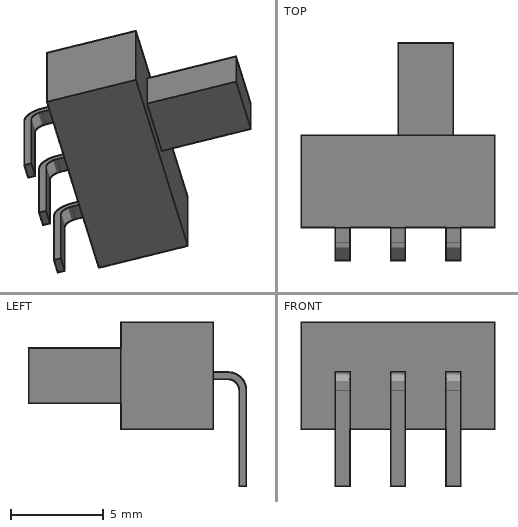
import cadquery as cq

body_width = 10.5
body_depth = 5.0
body_height = 5.8

slider_side = 3.0
slider_length = 5.0

pin_count = 3
pin_pitch = 3.0
pin_width = 0.8
pin_thickness = 0.4
pin_reach = 1.79
pin_top = 3.1
pin_bottom = -3.09
bend_outer_radius = 1.0
bend_inner_radius = bend_outer_radius - pin_thickness

front_y = -body_depth / 2
rear_y = body_depth / 2


def make_body():
    return cq.Workplane("XY").box(body_width, body_depth, body_height, centered=(True, True, False))


def make_slider():
    """Slider with one side on the middle plane of the housing."""
    bottom = (body_height - slider_side) / 2
    slider = cq.Workplane("XY").box(slider_side, slider_length, slider_side, centered=False)
    return slider.translate((0, rear_y, bottom))


def make_pin(center_x):
    """Flat pin that leaves the housing forwards and bends straight down."""
    outer_y = front_y - pin_reach
    bend_y = outer_y + bend_outer_radius
    bend_z = pin_top - bend_outer_radius
    profile = (
        cq.Workplane("YZ")
        .moveTo(front_y, pin_top)
        .lineTo(bend_y, pin_top)
        .radiusArc((outer_y, bend_z), -bend_outer_radius)
        .lineTo(outer_y, pin_bottom)
        .lineTo(outer_y + pin_thickness, pin_bottom)
        .lineTo(outer_y + pin_thickness, bend_z)
        .radiusArc((bend_y, pin_top - pin_thickness), bend_inner_radius)
        .lineTo(front_y, pin_top - pin_thickness)
        .close()
    )
    return profile.extrude(pin_width / 2, both=True).translate((center_x, 0, 0))


result = make_body().union(make_slider())
for index in range(pin_count):
    pin_x = (index - (pin_count - 1) / 2) * pin_pitch
    result = result.union(make_pin(pin_x))